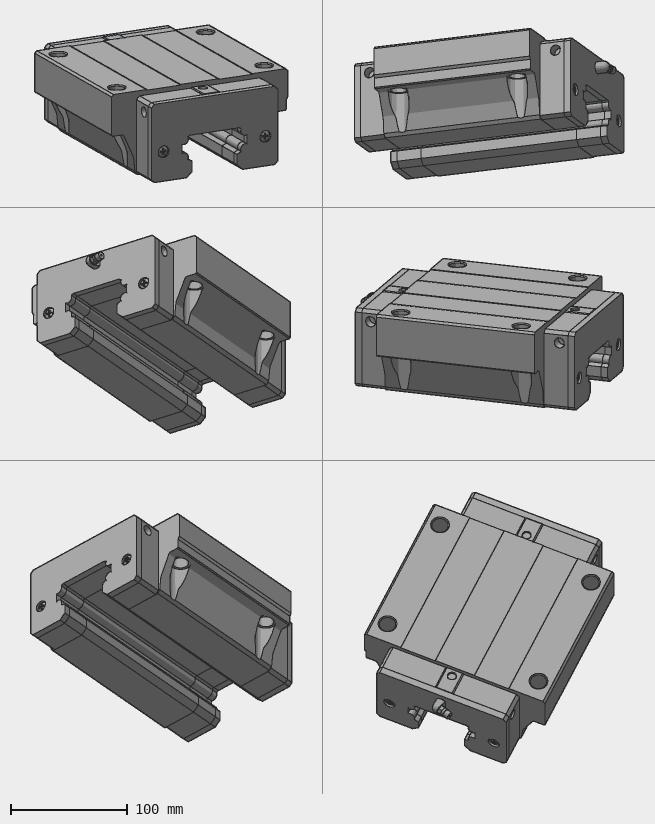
import cadquery as cq
import math


block_length = 144.4
cap_thickness = 22.0
seal_thickness = 6.0
block_end = block_length / 2
cap_end = block_end + cap_thickness
seal_end = cap_end + seal_thickness

block_width = 170.0
block_height = 75.0
flange_underside = 37.6
flange_top_chamfer = 2.0
flange_bottom_chamfer = 1.0
pad_half_width = 18.4
groove_outer_edge = 50.8
groove_depth = 0.6
relief_depth = 1.4
relief_top = 49.5
relief_bottom = 47.0
web_top_half_width = 73.7
web_knee_half_width = 63.8
web_knee_height = 16.2
web_foot_half_width = 62.5
web_foot_height = 3.2
web_base_half_width = 60.2
web_top_fillet = 3.0
web_knee_fillet = 10.0

opening_roof = 37.8
opening_roof_half_width = 23.4
opening_waist_half_width = 25.2
rail_slot_half_width = 31.4
rail_slot_height = 26.5
raceway_spacing = 16.5
raceway_radius = 4.5
raceway_overrun = 2.0
jaw_half_width = 21.6
jaw_top = 14.2
jaw_chamfer_height = 5.0
jaw_base_half_width = 27.1

hole_spacing_x = 110.0
hole_spacing_y = 142.0
hole_diameter = 14.0
hole_chamfer = 1.0
spotface_diameter = 18.0

end_width = 122.0
end_height = 70.3
end_chamfer = 3.0
cap_pad_half_width = 7.3
cap_pad_base_half_width = 8.5
cap_pad_height = 0.7
cap_top_hole_x = 78.3
cap_top_hole_diameter = 7.6
cap_top_hole_depth = 2.0
cap_side_hole_x = 86.2
cap_side_hole_diameter = 9.0
cap_side_hole_depth = 10.0
fitting_height = 60.0

screw_offset = 49.1
screw_height = 26.5
screw_diameter = 10.3
screw_rim_recess = 2.2
screw_dome_height = 1.7
cross_span = 5.5
cross_width = 1.1
cross_depth = 2.0

nipple_stem_diameter = 10.4
nipple_stem_length = 6.05
nipple_flat_offset = 2.0
nipple_angle = 17.0
nipple_hex_width = 7.2
nipple_hex_length = 5.4
nipple_neck_diameter = 6.6
nipple_neck_end = 7.8
nipple_head_diameter = 7.3
nipple_tip_diameter = 6.2
nipple_tip_end = 12.6
nipple_bore_diameter = 1.2
nipple_bore_depth = 3.0


def cut_opening(body):
    """Cut the rail opening right through a body along X."""
    lip_center_y = opening_waist_half_width + raceway_radius
    upper_center_z = rail_slot_height + raceway_spacing / 2
    lower_center_z = rail_slot_height - raceway_spacing / 2
    diagonal = raceway_radius * math.sqrt(0.5)
    lip_middle_y = lip_center_y - diagonal
    lip_end_y = lip_center_y - math.sqrt(raceway_radius**2 - raceway_overrun**2)
    slot_rise = math.sqrt(raceway_radius**2 - (rail_slot_half_width - lip_center_y)**2)
    half = (
        cq.Workplane("YZ", origin=(-seal_end, 0, 0))
        .moveTo(0, opening_roof)
        .lineTo(opening_roof_half_width, opening_roof)
        .lineTo(lip_end_y, upper_center_z + raceway_overrun)
        .threePointArc(
            (lip_middle_y, upper_center_z - diagonal),
            (rail_slot_half_width, upper_center_z - slot_rise),
        )
        .lineTo(rail_slot_half_width, lower_center_z + slot_rise)
        .threePointArc(
            (lip_middle_y, lower_center_z + diagonal),
            (lip_end_y, lower_center_z - raceway_overrun),
        )
        .lineTo(jaw_half_width, jaw_top)
        .lineTo(jaw_half_width, jaw_chamfer_height)
        .lineTo(jaw_base_half_width, 0)
        .lineTo(0, 0)
        .close()
        .extrude(2 * seal_end)
    )
    return body.cut(half).cut(half.mirror("XZ"))


def make_block():
    half_width = block_width / 2
    right_side = [
        (web_base_half_width, 0),
        (web_foot_half_width, web_foot_height),
        (web_knee_half_width, web_knee_height),
        (web_top_half_width, flange_underside),
        (half_width - flange_bottom_chamfer, flange_underside),
        (half_width, flange_underside + flange_bottom_chamfer),
        (half_width, block_height - flange_top_chamfer),
        (half_width - flange_top_chamfer, block_height),
    ]
    left_side = [(-y, z) for y, z in reversed(right_side)]
    block = (
        cq.Workplane("YZ", origin=(-block_end, 0, 0))
        .polyline(right_side + left_side)
        .close()
        .extrude(block_length)
    )
    for y, z, radius in [
        (web_top_half_width, flange_underside, web_top_fillet),
        (web_knee_half_width, web_knee_height, web_knee_fillet),
    ]:
        for side in (-1, 1):
            corner = cq.selectors.NearestToPointSelector((0, side * y, z))
            block = block.edges("|X").edges(corner).fillet(radius)

    groove_width = groove_outer_edge - pad_half_width
    groove_center = (groove_outer_edge + pad_half_width) / 2
    grooves = (
        cq.Workplane("XY", origin=(0, 0, block_height - groove_depth))
        .pushPoints([(0, -groove_center), (0, groove_center)])
        .rect(block_length, groove_width)
        .extrude(groove_depth)
    )
    block = block.cut(grooves)

    edge_relief = (
        cq.Workplane("YZ", origin=(-block_end, 0, 0))
        .polyline([
            (half_width, relief_top),
            (half_width - relief_depth, relief_bottom),
            (half_width - relief_depth, flange_underside + flange_bottom_chamfer),
            (half_width - relief_depth - flange_bottom_chamfer, flange_underside),
            (half_width, flange_underside),
        ])
        .close()
        .extrude(block_length)
    )
    block = block.cut(edge_relief)

    spotfaces = (
        cq.Workplane("XY")
        .rarray(hole_spacing_x, hole_spacing_y, 2, 2)
        .circle(spotface_diameter / 2)
        .extrude(flange_underside)
    )
    block = (
        block.cut(spotfaces)
        .faces(">Z").workplane(origin=(0, 0, block_height))
        .rarray(hole_spacing_x, hole_spacing_y, 2, 2)
        .cskHole(hole_diameter, hole_diameter + 2 * hole_chamfer, 90)
    )
    return cut_opening(block)


def end_plate(start, thickness):
    """Chamfered plate with the rail opening, at the +X end."""
    plate = (
        cq.Workplane("YZ", origin=(start, 0, end_height / 2))
        .rect(end_width, end_height)
        .extrude(thickness)
        .edges("|X").chamfer(end_chamfer)
    )
    return cut_opening(plate)


def make_cap():
    """End cap at the +X end."""
    cap = end_plate(block_end, cap_thickness)
    pad = (
        cq.Workplane("YZ", origin=(block_end, 0, 0))
        .polyline([
            (-cap_pad_base_half_width, end_height),
            (cap_pad_base_half_width, end_height),
            (cap_pad_half_width, end_height + cap_pad_height),
            (-cap_pad_half_width, end_height + cap_pad_height),
        ])
        .close()
        .extrude(cap_thickness)
    )
    top_hole = (
        cq.Workplane("XY", origin=(cap_top_hole_x, 0, end_height + cap_pad_height))
        .circle(cap_top_hole_diameter / 2)
        .extrude(-cap_top_hole_depth)
    )
    side_hole = (
        cq.Workplane("XZ", origin=(cap_side_hole_x, -end_width / 2, fitting_height))
        .circle(cap_side_hole_diameter / 2)
        .extrude(-cap_side_hole_depth)
    )
    return cap.union(pad).cut(top_hole).cut(side_hole).cut(side_hole.mirror("XZ"))


def make_seal():
    """End seal at the +X end, with a through hole for each screw."""
    seal = end_plate(cap_end, seal_thickness)
    screw_holes = (
        cq.Workplane("YZ", origin=(cap_end, 0, screw_height))
        .pushPoints([(-screw_offset, 0), (screw_offset, 0)])
        .circle(screw_diameter / 2)
        .extrude(seal_thickness)
    )
    return seal.cut(screw_holes)


def make_screw(y):
    """Domed screw filling its seal hole up to a rim below the seal face, at the +X end."""
    rim = seal_thickness - screw_rim_recess
    crown = rim + screw_dome_height
    radius = screw_diameter / 2
    dome_radius = (radius**2 + screw_dome_height**2) / (2 * screw_dome_height)
    half_angle = math.asin(radius / dome_radius) / 2
    arc_middle = (
        crown - dome_radius * (1 - math.cos(half_angle)),
        dome_radius * math.sin(half_angle),
    )
    screw = (
        cq.Workplane("XY")
        .lineTo(0, radius)
        .lineTo(rim, radius)
        .threePointArc(arc_middle, (crown, 0))
        .close()
        .revolve(360, (0, 0, 0), (1, 0, 0))
    )
    for width, height in [(cross_span, cross_width), (cross_width, cross_span)]:
        slot = (
            cq.Workplane("YZ", origin=(crown, 0, 0))
            .rect(width, height)
            .extrude(-cross_depth)
        )
        screw = screw.cut(slot)
    return screw.translate((cap_end, y, screw_height))


def make_nipple():
    """Grease nipple on the -X seal: a stem with a ball end, cut flat where the arm stands on it."""
    radius = nipple_stem_diameter / 2
    elbow = (-seal_end - nipple_stem_length, 0, fitting_height)

    def turn_to_arm(shape):
        """Turn a shape built along -Y from the origin to the arm direction at the elbow."""
        return shape.rotate((0, 0, 0), (0, 0, 1), -nipple_angle).translate(elbow)

    stem = cq.Workplane("YZ", origin=elbow).circle(radius).extrude(nipple_stem_length)
    beyond_elbow = (
        cq.Workplane("YZ", origin=elbow)
        .rect(nipple_stem_diameter, nipple_stem_diameter)
        .extrude(-radius)
    )
    ball = cq.Workplane("XY", origin=elbow).sphere(radius).intersect(beyond_elbow)
    flat_cut = (
        cq.Workplane("XZ", origin=(0, -nipple_flat_offset, 0))
        .rect(2 * nipple_stem_diameter, nipple_stem_diameter)
        .extrude(nipple_stem_diameter)
    )
    base = stem.union(ball).cut(turn_to_arm(flat_cut))

    hex_turn = 360 / 6 / 2
    arm_hex = (
        cq.Workplane("XZ")
        .polygon(6, nipple_hex_width, circumscribed=True)
        .extrude(nipple_hex_length)
        .rotate((0, 0, 0), (0, 1, 0), hex_turn)
    )
    arm_tip = (
        cq.Workplane("XY")
        .polyline([
            (0, 0),
            (nipple_hex_width / 2, 0),
            (nipple_hex_width / 2, -nipple_hex_length),
            (nipple_neck_diameter / 2, -nipple_neck_end),
            (nipple_head_diameter / 2, -nipple_neck_end),
            (nipple_tip_diameter / 2, -nipple_tip_end),
            (0, -nipple_tip_end),
        ])
        .close()
        .revolve(360, (0, 0, 0), (0, 1, 0))
    )
    bore = (
        cq.Workplane("XZ", origin=(0, -nipple_tip_end, 0))
        .circle(nipple_bore_diameter / 2)
        .extrude(-nipple_bore_depth)
    )
    arm = arm_hex.union(arm_tip).cut(bore)
    return base.union(turn_to_arm(arm))


block = make_block()
nipple = make_nipple()
bodies = [block.val(), nipple.val()]
for end_part in [make_cap(), make_seal(), make_screw(-screw_offset), make_screw(screw_offset)]:
    bodies.append(end_part.val())
    bodies.append(end_part.mirror("YZ").val())

result = cq.Compound.makeCompound(bodies)